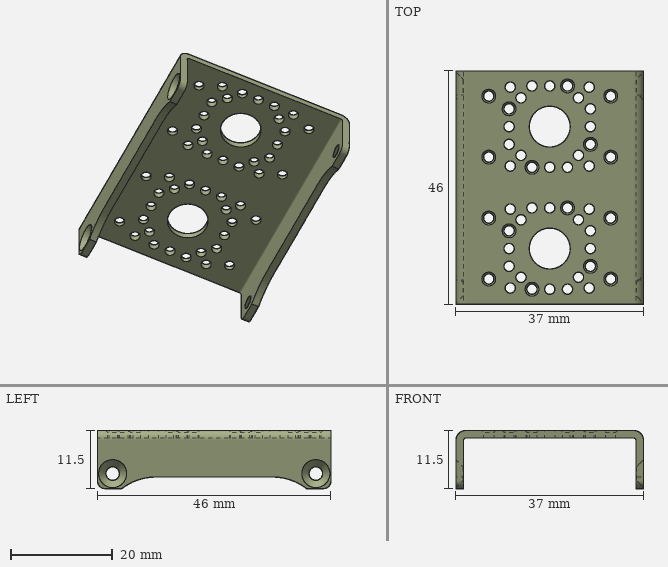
import cadquery as cq
import math

length = 46.0
width = 37.0
height = 11.5
thickness = 1.5
bend_radius_outer = 2.0
bend_radius_inner = bend_radius_outer - thickness

foot_corner_radius = 1.5
foot_width = 4.8
arch_rise = 2.3
arch_radius = 11.0

screw_hole_diameter = 2.6
screw_head_diameter = 5.5
screw_hole_y = 20.0
screw_hole_height = 3.0
countersink_angle = 90.0

pattern_spacing = 24.0
center_hole_diameter = 8.0
small_hole_diameter = 2.0
small_countersink_diameter = 2.7
ring_radius = 8.0
side_hole_offset = 3.5
outer_ring_radius = 11.0
mount_hole_x = 12.0
mount_hole_y = mount_hole_x / 2


def make_folded_sheet():
    """U-shaped sheet with rounded bends, feet at z = 0."""
    outer = cq.Workplane("XY").box(width, length, height, centered=(True, True, False))
    outer = outer.edges("|Y and >Z").fillet(bend_radius_outer)
    inner = cq.Workplane("XY").box(
        width - 2 * thickness, length, height - thickness, centered=(True, True, False)
    )
    inner = inner.edges("|Y and >Z").fillet(bend_radius_inner)
    return outer.cut(inner)


def make_flange_relief():
    """Space between the feet, with a tangent arc rising from each foot."""
    start_y = length / 2 - foot_width
    arch_run = math.sqrt(arch_radius**2 - (arch_radius - arch_rise) ** 2)
    flat_y = start_y - arch_run
    half_angle = math.asin(arch_run / arch_radius) / 2
    middle_y = flat_y + arch_radius * math.sin(half_angle)
    middle_z = arch_rise - arch_radius * (1 - math.cos(half_angle))
    return (
        cq.Workplane("YZ")
        .moveTo(-start_y, 0)
        .threePointArc((-middle_y, middle_z), (-flat_y, arch_rise))
        .lineTo(flat_y, arch_rise)
        .threePointArc((middle_y, middle_z), (start_y, 0))
        .close()
        .extrude(width / 2, both=True)
    )


def drill_feet(body):
    """Countersink both feet of each flange from its outer face."""
    for face in ("<X", ">X"):
        body = (
            body.faces(face)
            .workplane(origin=(0, 0, screw_hole_height))
            .pushPoints([(-screw_hole_y, 0), (screw_hole_y, 0)])
            .cskHole(screw_hole_diameter, screw_head_diameter, countersink_angle, depth=thickness)
        )
    return body


def quarter_turns(x, y):
    """The point and its copies at 90, 180 and 270 degrees."""
    return [(x, y), (-y, x), (-x, -y), (y, -x)]


def drill_pattern(body, center_y):
    """Center hole with its plain and countersunk small holes."""
    ring_diagonal = ring_radius / math.sqrt(2)
    outer_diagonal = outer_ring_radius / math.sqrt(2)
    plain_holes = (
        quarter_turns(ring_radius, 0)
        + quarter_turns(ring_diagonal, ring_diagonal)
        + quarter_turns(outer_diagonal, outer_diagonal)
        + quarter_turns(ring_radius, side_hole_offset)
    )
    countersunk_holes = quarter_turns(side_hole_offset, ring_radius)
    for side in (-1, 1):
        countersunk_holes += [(side * mount_hole_x, -mount_hole_y), (side * mount_hole_x, mount_hole_y)]

    plate_top = cq.Workplane("XY", origin=(0, center_y, height))
    center_cut = plate_top.circle(center_hole_diameter / 2).extrude(-thickness)
    plain_cut = plate_top.pushPoints(plain_holes).circle(small_hole_diameter / 2).extrude(-thickness)
    body = body.cut(center_cut).cut(plain_cut)
    return (
        body.faces(">Z")
        .workplane(origin=(0, center_y, height))
        .pushPoints(countersunk_holes)
        .cskHole(small_hole_diameter, small_countersink_diameter, countersink_angle, depth=thickness)
    )


bracket = make_folded_sheet()
bracket = bracket.edges("|X and <Z and (<Y or >Y)").fillet(foot_corner_radius)
bracket = bracket.cut(make_flange_relief())
bracket = drill_feet(bracket)
for pattern_y in (-pattern_spacing / 2, pattern_spacing / 2):
    bracket = drill_pattern(bracket, pattern_y)

result = bracket